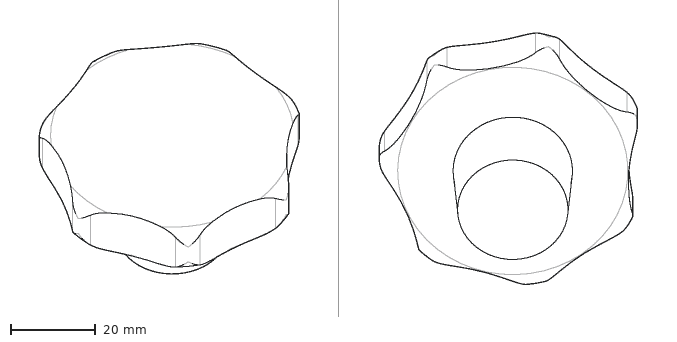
import cadquery as cq
import math

total_height = 40.0
head_bottom = 21.0
dome_edge_height = 34.8

lobe_count = 7
lobe_radius = 4.5
lobe_center_radius = 27.0
flute_depth_radius = 27.3

rim_radius = lobe_center_radius + lobe_radius
dome_edge_radius = 28.65
lower_rim_fillet = 4.4

stem_bottom_radius = 13.0
stem_top_radius = 14.05


def polar(radius, angle):
    return (radius * math.cos(angle), radius * math.sin(angle))


def flute_radius():
    """Radius of the concave flute that is tangent to the two lobes beside it."""
    half_pitch = math.pi / lobe_count
    lobe_x, lobe_y = polar(lobe_center_radius, half_pitch)
    gap = flute_depth_radius - lobe_x
    return (gap**2 + lobe_y**2 - lobe_radius**2) / (2 * (lobe_radius - gap))


def make_lobed_prism():
    """Prism with rounded lobes and tangent concave flutes, one lobe on +Y."""
    pitch = 2 * math.pi / lobe_count
    half_pitch = pitch / 2
    flute_center_radius = flute_depth_radius + flute_radius()

    flute_x, flute_y = polar(flute_center_radius, half_pitch)
    tangent_direction = math.atan2(flute_y, flute_x - lobe_center_radius)
    tangent_x = lobe_center_radius + lobe_radius * math.cos(tangent_direction)
    tangent_y = lobe_radius * math.sin(tangent_direction)
    tangent_radius = math.hypot(tangent_x, tangent_y)
    tangent_angle = math.atan2(tangent_y, tangent_x)

    first_lobe = math.pi / 2
    outline = cq.Workplane("XY").workplane(offset=head_bottom)
    outline = outline.moveTo(*polar(tangent_radius, first_lobe - tangent_angle))
    for i in range(lobe_count):
        lobe = first_lobe + i * pitch
        lobe_tip = polar(rim_radius, lobe)
        lobe_end = polar(tangent_radius, lobe + tangent_angle)
        flute_bottom = polar(flute_depth_radius, lobe + half_pitch)
        flute_end = polar(tangent_radius, lobe + pitch - tangent_angle)
        outline = outline.threePointArc(lobe_tip, lobe_end)
        outline = outline.threePointArc(flute_bottom, flute_end)
    return outline.close().extrude(total_height - head_bottom)


def make_domed_disc():
    """Disc with a spherical dome, blended into a rounded rim."""
    dome_rise = total_height - dome_edge_height
    dome_radius = (dome_edge_radius**2 + dome_rise**2) / (2 * dome_rise)
    dome_center_height = total_height - dome_radius
    edge_angle = math.asin(dome_edge_radius / dome_radius)
    dome_mid = (
        dome_radius * math.sin(edge_angle / 2),
        dome_center_height + dome_radius * math.cos(edge_angle / 2),
    )

    upper_fillet = (rim_radius - dome_edge_radius) / (1 - math.sin(edge_angle))
    upper_center_x = rim_radius - upper_fillet
    upper_center_z = dome_edge_height - upper_fillet * math.cos(edge_angle)
    upper_mid_angle = (math.pi / 2 - edge_angle) / 2
    upper_mid = (
        upper_center_x + upper_fillet * math.cos(upper_mid_angle),
        upper_center_z + upper_fillet * math.sin(upper_mid_angle),
    )

    lower_center_x = rim_radius - lower_rim_fillet
    lower_center_z = head_bottom + lower_rim_fillet
    lower_mid = (
        lower_center_x + lower_rim_fillet * math.cos(math.pi / 4),
        lower_center_z - lower_rim_fillet * math.sin(math.pi / 4),
    )

    profile = (
        cq.Workplane("XZ")
        .moveTo(0, head_bottom)
        .lineTo(lower_center_x, head_bottom)
        .threePointArc(lower_mid, (rim_radius, lower_center_z))
        .lineTo(rim_radius, upper_center_z)
        .threePointArc(upper_mid, (dome_edge_radius, dome_edge_height))
        .threePointArc(dome_mid, (0, total_height))
        .close()
    )
    return profile.revolve(360, (0, 0, 0), (0, 1, 0))


def make_stem():
    """Stem below the head, widening slightly towards it."""
    profile = (
        cq.Workplane("XZ")
        .lineTo(stem_bottom_radius, 0)
        .lineTo(stem_top_radius, head_bottom)
        .lineTo(0, head_bottom)
        .close()
    )
    return profile.revolve(360, (0, 0, 0), (0, 1, 0))


head = make_domed_disc().intersect(make_lobed_prism())
result = head.union(make_stem())